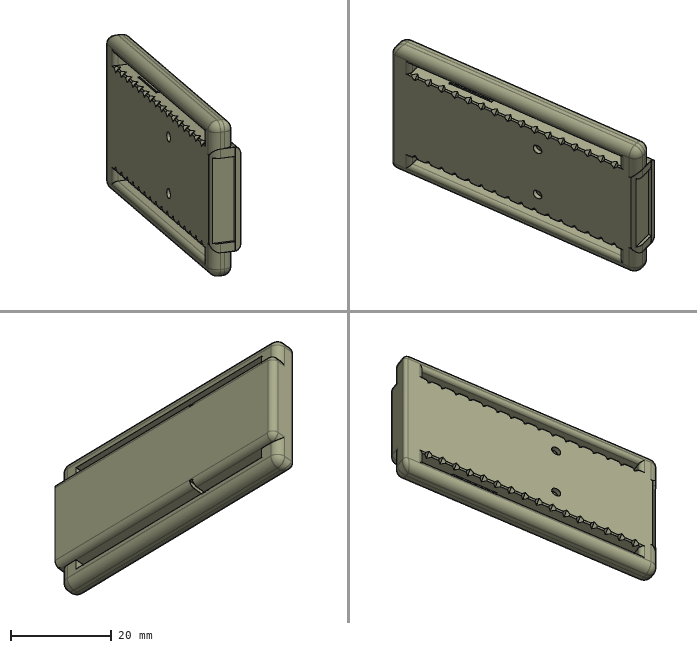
import cadquery as cq

FRAME_LENGTH = 58.75
FRAME_DEPTH = 4.75
HEIGHT = 32.8
EDGE_RADIUS = 1.95
LEFT_FRONT_RADIUS = 0.75

TOTAL_LENGTH = 58.8
TOTAL_DEPTH = 6.25
BLOCK_HALF_HEIGHT = 11.0
BLOCK_CORNER_RADIUS = 1.6
BLOCK_EDGE_RADIUS = 1.4
BLOCK_LIP_DEPTH = 1.2
LIP_FRONT_Y = TOTAL_DEPTH - BLOCK_LIP_DEPTH

SLOT_LEFT = 4.4
SLOT_RIGHT = 54.4
SLOT_OUTER_Z = 13.4
SLOT_CENTER_X = (SLOT_LEFT + SLOT_RIGHT) / 2
SLOT_EDGE_RADIUS = 0.95
SLOT_INNER_CHAMFER = 0.3

NOTCH_COUNT = 16
NOTCH_PITCH = 3.2
NOTCH_SIZE = 1.05

WALL = 1.0
CAVITY_LEFT = EDGE_RADIUS
CAVITY_HALF_HEIGHT = BLOCK_HALF_HEIGHT - BLOCK_CORNER_RADIUS
MOUTH_X = 57.2
MOUTH_FLARE = FRAME_LENGTH - MOUTH_X

RECESS_X = 58.1
RECESS_HALF_HEIGHT = 9.0

HOLE_DIAMETER = 2.0
HOLE_X = 34.9
HOLE_Z = 6.0

GROOVE_LEFT = 12.35
GROOVE_RIGHT = 22.5
GROOVE_FRONT_Y = 2.1
GROOVE_WIDTH = 0.35
GROOVE_END_WIDTH = 0.7
GROOVE_DEPTH = 1.2


def box(x_range, y_range, z_range):
    """Box between the given limits on each axis."""
    (x0, x1), (y0, y1), (z0, z1) = x_range, y_range, z_range
    return cq.Workplane("XY").box(x1 - x0, y1 - y0, z1 - z0, centered=False).translate((x0, y0, z0))


def centred_box(x_range, y_range, half_height):
    """Box that is symmetric about Z = 0."""
    return box(x_range, y_range, (-half_height, half_height))


def mirrored(shape):
    """The shape together with its mirror image below Z = 0."""
    return shape.union(shape.mirror("XY"))


def rounded_frame():
    """Plate with all edges rounded, more tightly along the left front edge."""
    frame = centred_box((0, FRAME_LENGTH), (0, FRAME_DEPTH), HEIGHT / 2)
    frame = frame.edges("<X and <Y").fillet(LEFT_FRONT_RADIUS)
    return frame.edges("|X or |Y or >Y or (>X and |Z)").fillet(EDGE_RADIUS)


def raised_block():
    """Block behind the frame, rounded at its left end and along its long back edges."""
    block = centred_box((0, TOTAL_LENGTH), (EDGE_RADIUS, TOTAL_DEPTH), BLOCK_HALF_HEIGHT)
    block = block.edges("<X and |Y").fillet(BLOCK_CORNER_RADIUS)
    block = block.faces(">Y").edges("not >X").fillet(BLOCK_EDGE_RADIUS)
    past_frame = centred_box((FRAME_LENGTH, TOTAL_LENGTH), (0, LIP_FRONT_Y), BLOCK_HALF_HEIGHT)
    return block.cut(past_frame)


def cut_slot(body, z_side):
    """Cut one strap slot; its front rim is rounded, and chamfered along the block."""
    inner_z = z_side * BLOCK_HALF_HEIGHT
    outer_z = z_side * SLOT_OUTER_Z
    middle_z = (inner_z + outer_z) / 2
    slot = box((SLOT_LEFT, SLOT_RIGHT), (0, FRAME_DEPTH), sorted((inner_z, outer_z)))
    body = body.cut(slot)

    def front_edge(x, z):
        return cq.selectors.NearestToPointSelector((x, 0, z))

    rounded_rim = front_edge(SLOT_LEFT, middle_z) + front_edge(SLOT_RIGHT, middle_z)
    rounded_rim += front_edge(SLOT_CENTER_X, outer_z)
    body = body.edges(rounded_rim).fillet(SLOT_EDGE_RADIUS)
    return body.edges(front_edge(SLOT_CENTER_X, inner_z)).chamfer(SLOT_INNER_CHAMFER)


def notches():
    """Pyramid-shaped bites out of the front edge of the upper slot's inner wall."""
    corner = cq.Vector(0, 0, BLOCK_HALF_HEIGHT)
    left = corner - cq.Vector(NOTCH_SIZE, 0, 0)
    right = corner + cq.Vector(NOTCH_SIZE, 0, 0)
    front_tip = corner - cq.Vector(0, 0, NOTCH_SIZE)
    rear_tip = corner + cq.Vector(0, NOTCH_SIZE, 0)
    triangles = ((left, right, front_tip), (left, right, rear_tip),
                 (left, front_tip, rear_tip), (right, front_tip, rear_tip))
    faces = [cq.Face.makeFromWires(cq.Wire.makePolygon(triangle, close=True)) for triangle in triangles]
    notch = cq.Workplane(cq.Solid.makeSolid(cq.Shell.makeShell(faces)))
    first_x = SLOT_CENTER_X - NOTCH_PITCH * (NOTCH_COUNT - 1) / 2
    row = cq.Workplane("XY")
    for index in range(NOTCH_COUNT):
        row = row.add(notch.translate((first_x + index * NOTCH_PITCH, 0, 0)))
    return row.combine()


def drawer_space():
    """Cavity for the drawer, and the flared mouth that takes its cap."""
    cavity = centred_box((CAVITY_LEFT, FRAME_LENGTH), (WALL, LIP_FRONT_Y), CAVITY_HALF_HEIGHT)
    outer_half_height = CAVITY_HALF_HEIGHT + MOUTH_FLARE
    mouth = (
        cq.Workplane("XZ")
        .polyline([
            (MOUTH_X, -CAVITY_HALF_HEIGHT),
            (FRAME_LENGTH, -outer_half_height),
            (FRAME_LENGTH, outer_half_height),
            (MOUTH_X, CAVITY_HALF_HEIGHT),
        ])
        .close()
        .extrude(-LIP_FRONT_Y)
    )
    return cavity.union(mouth)


def side_grooves():
    """Groove along each side wall that turns towards the back at its right end."""
    z_range = (BLOCK_HALF_HEIGHT - GROOVE_DEPTH, BLOCK_HALF_HEIGHT)
    long_cut = box((GROOVE_LEFT, GROOVE_RIGHT), (GROOVE_FRONT_Y, GROOVE_FRONT_Y + GROOVE_WIDTH), z_range)
    end_cut = box((GROOVE_RIGHT - GROOVE_END_WIDTH, GROOVE_RIGHT), (GROOVE_FRONT_Y, TOTAL_DEPTH), z_range)
    return mirrored(long_cut.union(end_cut))


def peep_holes():
    """Pair of round holes through the front wall."""
    return (
        cq.Workplane("XZ")
        .pushPoints([(HOLE_X, -HOLE_Z), (HOLE_X, HOLE_Z)])
        .circle(HOLE_DIAMETER / 2)
        .extrude(-WALL)
    )


def make_housing():
    """Frame and block in one piece, hollowed for the drawer."""
    flat_wall = centred_box((FRAME_LENGTH - EDGE_RADIUS, MOUTH_X), (0, WALL), CAVITY_HALF_HEIGHT)
    housing = rounded_frame()
    for z_side in (-1, 1):
        housing = cut_slot(housing, z_side)
    housing = housing.union(raised_block()).union(flat_wall)
    housing = housing.cut(mirrored(notches()))
    return housing.cut(drawer_space()).cut(side_grooves()).cut(peep_holes())


def make_drawer():
    """Drawer that fills the cavity; its cap follows the rounded end of the frame."""
    recess = centred_box((RECESS_X, FRAME_LENGTH), (0, LIP_FRONT_Y), RECESS_HALF_HEIGHT)
    envelope = rounded_frame().union(
        centred_box((CAVITY_LEFT, FRAME_LENGTH), (EDGE_RADIUS, TOTAL_DEPTH), BLOCK_HALF_HEIGHT)
    )
    return drawer_space().intersect(envelope).cut(recess)


housing = make_housing()
drawer = make_drawer()
result = cq.Compound.makeCompound([*housing.solids().vals(), *drawer.solids().vals()])